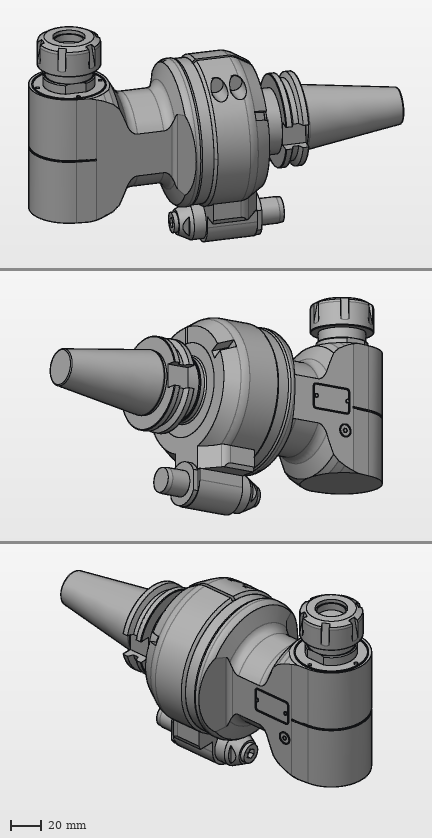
import cadquery as cq
import math


tip_y = 228.5
tip_radius = 12.5
tip_chamfer = 0.8
gauge_y = 160.2
gauge_land = 1.0
neck_radius = 22.3
relief_radius = 21.7
flange_back_y = 157.0
flange_front_y = 141.0
flange_radius = 31.7
flange_chamfer = 0.5
groove_floor_radius = 28.0
groove_floor_width = 3.8
groove_mouth_width = 7.7
drive_slot_width = 16.0
drive_slot_floor = 23.0
neck_groove_y = 130.5
neck_groove_width = 1.3
neck_groove_depth = 0.5
neck_flare = 1.0

ring_back_y = 126.0
ring_front_y = 85.5
ring_diameter = 102.0
ring_radius = ring_diameter / 2
ring_back_radius = 43.2
ring_cone_end_y = 116.2
ring_cone_end_radius = 49.0
ring_round_end_y = 110.3
ring_front_chamfer = 2.0
split_width = 2.5
spanner_slot_width = 6.1
spanner_slot_depth = 7.7
spanner_slot_angles = (30, 150)
screw_hole_diameter = 11.0
screw_hole_z = 40.7
screw_hole_seat_x = 21.0
screw_hole_ys = (107.7, 94.7)

bracket_half_width = 29.0
bracket_back_half_width = 12.8
bracket_shoulder_half_width = 26.4
bracket_bottom_z = -57.0
bracket_front_y = 91.0
bracket_chamfer_height = 3.0
bracket_chamfer_width = 1.3
pin_z = -65.0
boss_radius = 15.4

pin_stud_end_y = 146.5
pin_stud_radius = 9.0
pin_stud_chamfer_length = 3.3
pin_stud_chamfer = 0.5
pin_flange_y = 129.5
pin_flange_radius = 14.8
pin_flange_flat_x = 13.0
pin_nose_radius = 13.0
pin_cone_y = 82.6
pin_tip_start_y = 73.7
pin_tip_y = 70.5
pin_tip_radius = 7.0
pin_cone_end_radius = 8.5
pin_flat_x = 9.5
pin_flat_y = 80.0
pin_socket_width = 6.1
pin_socket_depth = 3.8

hub_radius = 32.0
collar_radius = 49.0
rim_back_y = 77.5
rim_chamfer_length = 1.5
rim_radius = 50.0
rim_front_y = 73.5
shoulder_y = 68.5
shoulder_radius = 47.8
cone_end_y = 64.2
cone_end_radius = 36.8
waist_back_y = 56.8
waist_radius = 32.0
waist_front_y = 38.6
flare_start_y = 31.7
flare_start_radius = 35.3
flare_end_y = 26.0
flare_knee_y = 22.0
flare_knee_radius = 47.8
flare_round_y = 17.0
flare_round_radius = 50.0
head_full_y = 1.3
head_full_radius = 52.7
head_half_height = 44.8
head_cap_start_y = 33.3
spindle_y = -0.5
head_radius = 26.9
flat_x = 28.1
flat_front_y = 10.0
flat_back_y = 62.5
shoulder_flat_inner = (30.5, 65.8)
shoulder_flat_outer = (64.7, 78.3)
head_groove_width = 1.0
head_groove_depth = 0.5

cover_groove_outer = 24.8
cover_groove_inner = 24.0
cover_groove_depth = 0.5
cover_hole_count = 4
cover_hole_diameter = 2.5
cover_hole_circle = 21.7
cover_hole_depth = 1.3

plate_length = 29.5
plate_height = 17.7
plate_y = 27.6
plate_z = 3.3
plate_corner = 2.3
plate_gap = 0.8
plate_gap_depth = 0.5
rivet_diameter = 2.5
rivet_height = 0.8
rivet_spacing = 25.3
plug_y = 16.5
plug_z = -17.0
plug_diameter = 8.0
plug_gap = 0.5
plug_depth = 0.5
plug_socket_width = 3.0

spindle_collar_radius = 17.5
spindle_collar_top = 51.7
spindle_collar_chamfer = 0.8
spindle_flat_x = 15.9
spindle_radius = 15.9
nut_bottom = 58.8
nut_top = 79.0
nut_radius = 21.2
nut_bottom_chamfer = 0.5
nut_shoulder_z = 75.0
nut_edge_radius = 20.7
nut_edge_z = 76.8
nut_face_radius = 16.6
nut_slot_count = 6
nut_slot_width = 5.5
nut_slot_bottom = 62.5
nut_slot_top_radius = 18.0
collet_mouth_diameter = 21.5
collet_bore_diameter = 19.5
collet_mouth_depth = 2.5
collet_bore_depth = 7.7

margin = 12.8


def box_between(x_range, y_range, z_range):
    """Box between two limits on each axis."""
    lows = [min(r) for r in (x_range, y_range, z_range)]
    sizes = [abs(r[1] - r[0]) for r in (x_range, y_range, z_range)]
    return cq.Workplane("XY").box(*sizes, centered=False).translate(tuple(lows))


def turned(points):
    """Solid turned about Y from (radius, y) points that start and end on the axis."""
    return cq.Workplane("XY").polyline(points).close().revolve(360, (0, 0, 0), (0, 1, 0))


def trim_sides(body, half_width, y_range, z_range):
    """Cut flats at x = +half_width and x = -half_width."""
    reach = half_width + margin
    for side in (1, -1):
        body = body.cut(box_between((side * half_width, side * reach), y_range, z_range))
    return body


def make_shank():
    groove_y = (flange_back_y + flange_front_y) / 2
    neck_groove_low = neck_groove_y - neck_groove_width / 2
    neck_groove_high = neck_groove_y + neck_groove_width / 2
    neck_groove_radius = neck_radius - neck_groove_depth
    body = turned([
        (0, tip_y),
        (tip_radius - tip_chamfer, tip_y),
        (tip_radius, tip_y - tip_chamfer),
        (neck_radius, gauge_y),
        (neck_radius, gauge_y - gauge_land),
        (relief_radius, gauge_y - gauge_land),
        (relief_radius, flange_back_y),
        (flange_radius - flange_chamfer, flange_back_y),
        (flange_radius, flange_back_y - flange_chamfer),
        (flange_radius, groove_y + groove_mouth_width / 2),
        (groove_floor_radius, groove_y + groove_floor_width / 2),
        (groove_floor_radius, groove_y - groove_floor_width / 2),
        (flange_radius, groove_y - groove_mouth_width / 2),
        (flange_radius, flange_front_y + flange_chamfer),
        (flange_radius - flange_chamfer, flange_front_y),
        (neck_radius, flange_front_y),
        (neck_radius, neck_groove_high),
        (neck_groove_radius, neck_groove_high),
        (neck_groove_radius, neck_groove_low),
        (neck_radius, neck_groove_low),
        (neck_radius, ring_back_y + neck_flare),
        (neck_radius + neck_flare, ring_back_y),
        (0, ring_back_y),
    ])
    half_slot = drive_slot_width / 2
    return trim_sides(body, drive_slot_floor, (flange_front_y, flange_back_y), (-half_slot, half_slot))


def make_ring_blank():
    """Ring with a cone at the rear and a round between the cone and the cylinder."""
    return (
        cq.Workplane("XY")
        .moveTo(hub_radius, ring_back_y)
        .lineTo(ring_back_radius, ring_back_y)
        .lineTo(ring_cone_end_radius, ring_cone_end_y)
        .tangentArcPoint((ring_radius, ring_round_end_y), relative=False)
        .lineTo(ring_radius, ring_front_y + ring_front_chamfer)
        .lineTo(ring_radius - ring_front_chamfer, ring_front_y)
        .lineTo(hub_radius, ring_front_y)
        .close()
        .revolve(360, (0, 0, 0), (0, 1, 0))
    )


def make_bracket():
    """Pad below the ring with a round boss that carries the stop pin."""
    length = ring_back_y - bracket_front_y
    half_plan = (
        cq.Workplane("XY")
        .moveTo(0, bracket_front_y)
        .lineTo(bracket_half_width, bracket_front_y)
        .lineTo(bracket_half_width, ring_round_end_y)
        .tangentArcPoint((bracket_shoulder_half_width, ring_cone_end_y), relative=False)
        .lineTo(bracket_back_half_width, ring_back_y)
        .lineTo(0, ring_back_y)
        .close()
        .extrude(bracket_bottom_z)
    )
    chamfer_x = bracket_half_width - bracket_chamfer_width
    chamfer_z = bracket_bottom_z + bracket_chamfer_height
    section = (
        cq.Workplane("XZ", origin=(0, ring_back_y, 0))
        .polyline([
            (bracket_half_width, 0),
            (bracket_half_width, chamfer_z),
            (chamfer_x, bracket_bottom_z),
            (-chamfer_x, bracket_bottom_z),
            (-bracket_half_width, chamfer_z),
            (-bracket_half_width, 0),
        ])
        .close()
        .extrude(length)
    )
    pad = half_plan.union(half_plan.mirror("YZ")).intersect(section)
    y_range = (bracket_front_y, ring_back_y)
    web = box_between((-boss_radius, boss_radius), y_range, (pin_z, bracket_bottom_z))
    boss = cq.Workplane("XZ", origin=(0, ring_back_y, pin_z)).circle(boss_radius).extrude(length)
    bore = cq.Workplane("XZ", origin=(0, ring_back_y, 0)).circle(hub_radius).extrude(length)
    return pad.union(web).union(boss).cut(bore)


def make_stop_pin():
    """Stud, flange and conical nose with wrench flats and a hexagon socket."""
    pin = turned([
        (0, pin_stud_end_y),
        (pin_stud_radius - pin_stud_chamfer, pin_stud_end_y),
        (pin_stud_radius, pin_stud_end_y - pin_stud_chamfer_length),
        (pin_stud_radius, pin_flange_y),
        (pin_flange_radius, pin_flange_y),
        (pin_flange_radius, ring_back_y),
        (pin_nose_radius, ring_back_y),
        (pin_nose_radius, pin_cone_y),
        (pin_cone_end_radius, pin_tip_start_y),
        (pin_tip_radius, pin_tip_start_y),
        (pin_tip_radius, pin_tip_y),
        (0, pin_tip_y),
    ])
    reach = (-boss_radius, boss_radius)
    pin = trim_sides(pin, pin_flange_flat_x, (ring_back_y, pin_flange_y), reach)
    pin = trim_sides(pin, pin_flat_x, (pin_tip_y, pin_flat_y), reach)
    half_corner_angle = 30
    socket_diameter = pin_socket_width / math.cos(math.radians(half_corner_angle))
    socket = (
        cq.Workplane("XZ", origin=(0, pin_tip_y + pin_socket_depth, 0))
        .transformed(rotate=(0, 0, half_corner_angle))
        .polygon(6, socket_diameter)
        .extrude(pin_socket_depth)
    )
    return pin.cut(socket).translate((0, 0, pin_z))


def spanner_slot(angle):
    """Cutter for a shallow slot along the rear cone, at an angle from +X toward +Z."""
    reach = ring_radius + margin
    return (
        cq.Workplane("XY", origin=(0, 0, -spanner_slot_width / 2))
        .polyline([
            (ring_back_radius - spanner_slot_depth, ring_back_y),
            (ring_cone_end_radius - spanner_slot_depth, ring_cone_end_y),
            (reach, ring_cone_end_y),
            (reach, ring_back_y),
        ])
        .close()
        .extrude(spanner_slot_width)
        .rotate((0, 0, 0), (0, 1, 0), -angle)
    )


def make_clamp_ring():
    ring = make_ring_blank().union(make_bracket()).union(make_stop_pin())
    half_split = split_width / 2
    split = box_between((-half_split, half_split), (ring_front_y, ring_back_y), (0, ring_radius + margin))
    ring = ring.cut(split)
    for angle in spanner_slot_angles:
        ring = ring.cut(spanner_slot(angle))
    for y in screw_hole_ys:
        hole = (
            cq.Workplane("YZ", origin=(screw_hole_seat_x, y, screw_hole_z))
            .circle(screw_hole_diameter / 2)
            .extrude(ring_radius)
        )
        ring = ring.cut(hole)
    return ring


def make_housing_turning():
    """Hub, collar, rim, waist and flaring head turned about Y."""
    return (
        cq.Workplane("XY")
        .moveTo(0, ring_back_y)
        .lineTo(hub_radius, ring_back_y)
        .lineTo(hub_radius, ring_front_y)
        .lineTo(collar_radius, ring_front_y)
        .lineTo(collar_radius, rim_back_y)
        .lineTo(rim_radius, rim_back_y - rim_chamfer_length)
        .lineTo(rim_radius, rim_front_y)
        .tangentArcPoint((shoulder_radius, shoulder_y), relative=False)
        .lineTo(cone_end_radius, cone_end_y)
        .tangentArcPoint((waist_radius, waist_back_y), relative=False)
        .lineTo(waist_radius, waist_front_y)
        .tangentArcPoint((flare_start_radius, flare_start_y), relative=False)
        .lineTo(head_half_height, flare_end_y)
        .lineTo(flare_knee_radius, flare_knee_y)
        .lineTo(flare_round_radius, flare_round_y)
        .tangentArcPoint((head_full_radius, head_full_y), relative=False)
        .lineTo(head_full_radius, -head_radius - margin)
        .lineTo(0, -head_radius - margin)
        .close()
        .revolve(360, (0, 0, 0), (0, 1, 0))
    )


def make_plan_envelope():
    """Outline seen along Z: shoulder flats, side flats and the round nose of the head."""
    edge_rise = flat_front_y - spindle_y
    edge_distance = math.hypot(flat_x, edge_rise)
    tangent_angle = math.atan2(edge_rise, flat_x) - math.acos(head_radius / edge_distance)
    tangent_x = head_radius * math.cos(tangent_angle)
    tangent_y = spindle_y + head_radius * math.sin(tangent_angle)
    inner_x, inner_y = shoulder_flat_inner
    outer_x, outer_y = shoulder_flat_outer
    back_y = ring_back_y + margin
    return (
        cq.Workplane("XY", origin=(0, 0, -outer_x))
        .moveTo(outer_x, back_y)
        .lineTo(outer_x, outer_y)
        .lineTo(inner_x, inner_y)
        .tangentArcPoint((flat_x, flat_back_y), relative=False)
        .lineTo(flat_x, flat_front_y)
        .lineTo(tangent_x, tangent_y)
        .threePointArc((0, spindle_y - head_radius), (-tangent_x, tangent_y))
        .lineTo(-flat_x, flat_front_y)
        .lineTo(-flat_x, flat_back_y)
        .tangentArcPoint((-inner_x, inner_y), relative=False)
        .lineTo(-outer_x, outer_y)
        .lineTo(-outer_x, back_y)
        .close()
        .extrude(2 * outer_x)
    )


def cut_head_ends(body):
    """Flat top and bottom of the head."""
    reach = head_full_radius + margin
    for end in (1, -1):
        z_range = (end * head_half_height, end * reach)
        body = body.cut(box_between((-reach, reach), (-reach, head_cap_start_y), z_range))
    return body


def cut_head_groove(body):
    """Narrow groove round the nose at mid height."""
    half = head_groove_width / 2
    inner_radius = head_radius - head_groove_depth
    band = box_between((-2 * flat_x, 2 * flat_x), (-2 * flat_x, flat_front_y), (-half, half))
    core = cq.Workplane("XY", origin=(0, spindle_y, -half)).circle(inner_radius).extrude(head_groove_width)
    core = core.union(box_between((-inner_radius, inner_radius), (spindle_y, flat_front_y), (-half, half)))
    return body.cut(band.cut(core))


def cut_cover(body):
    """Ring groove and spanner holes of the bearing cover round the spindle."""
    groove = (
        cq.Workplane("XY", origin=(0, spindle_y, head_half_height - cover_groove_depth))
        .circle(cover_groove_outer)
        .circle(cover_groove_inner)
        .extrude(cover_groove_depth)
    )
    holes = (
        cq.Workplane("XY", origin=(0, spindle_y, head_half_height - cover_hole_depth))
        .polarArray(cover_hole_circle, 0, 360, cover_hole_count)
        .circle(cover_hole_diameter / 2)
        .extrude(cover_hole_depth)
    )
    return body.cut(groove).cut(holes)


def add_name_plate(body):
    """Name plate marked off by a narrow groove in the side flat, with two proud rivets."""
    face = cq.Workplane("YZ", origin=(-flat_x, plate_y, plate_z))
    recess = face.rect(plate_length, plate_height).extrude(plate_gap_depth).edges("|X").fillet(plate_corner)
    plate = (
        face.rect(plate_length - 2 * plate_gap, plate_height - 2 * plate_gap)
        .extrude(plate_gap_depth)
        .edges("|X")
        .fillet(plate_corner - plate_gap)
    )
    body = body.cut(recess.cut(plate))
    for side in (1, -1):
        rivet = (
            cq.Workplane("YZ", origin=(-flat_x, plate_y + side * rivet_spacing / 2, plate_z))
            .circle(rivet_diameter / 2)
            .extrude(-rivet_height)
        )
        body = body.union(rivet)
    return body


def cut_plug(body):
    """Round gap and hexagon socket of the screw plug in the side flat."""
    face = cq.Workplane("YZ", origin=(-flat_x, plug_y, plug_z))
    gap = face.circle(plug_diameter / 2 + plug_gap).circle(plug_diameter / 2).extrude(plug_depth)
    socket = face.polygon(6, plug_socket_width).extrude(plug_depth)
    return body.cut(gap).cut(socket)


def make_housing():
    body = make_housing_turning().intersect(make_plan_envelope())
    body = cut_head_ends(body)
    body = cut_head_groove(body)
    body = cut_cover(body)
    body = add_name_plate(body)
    return cut_plug(body)


def make_spindle():
    profile = [
        (0, head_half_height),
        (spindle_collar_radius, head_half_height),
        (spindle_collar_radius, spindle_collar_top - spindle_collar_chamfer),
        (spindle_collar_radius - spindle_collar_chamfer, spindle_collar_top),
        (spindle_radius, spindle_collar_top),
        (spindle_radius, nut_bottom),
        (nut_radius - nut_bottom_chamfer, nut_bottom),
        (nut_radius, nut_bottom + nut_bottom_chamfer),
        (nut_radius, nut_shoulder_z),
        (nut_edge_radius, nut_edge_z),
        (nut_face_radius, nut_top),
        (0, nut_top),
    ]
    body = cq.Workplane("XZ").polyline(profile).close().revolve(360, (0, 0, 0), (0, 1, 0))
    reach = (-nut_radius, nut_radius)
    body = trim_sides(body, spindle_flat_x, reach, (head_half_height, spindle_collar_top))

    slot = (
        cq.Workplane("YZ", origin=(-nut_slot_width / 2, 0, 0))
        .polyline([
            (-nut_slot_top_radius, nut_top),
            (-nut_radius, nut_slot_bottom),
            (-nut_radius - margin, nut_slot_bottom),
            (-nut_radius - margin, nut_top),
        ])
        .close()
        .extrude(nut_slot_width)
    )
    for index in range(nut_slot_count):
        body = body.cut(slot.rotate((0, 0, 0), (0, 0, 1), index * 360 / nut_slot_count))

    face = cq.Workplane("XY", origin=(0, 0, nut_top))
    mouth = face.circle(collet_mouth_diameter / 2).extrude(-collet_mouth_depth)
    bore = face.circle(collet_bore_diameter / 2).extrude(-collet_bore_depth)
    return body.cut(mouth).cut(bore).translate((0, spindle_y, 0))


shank = make_shank()
clamp_ring = make_clamp_ring()
housing = make_housing()
spindle = make_spindle()

bodies = [shank, clamp_ring, housing, spindle]
result = cq.Compound.makeCompound([body.solids().val() for body in bodies])